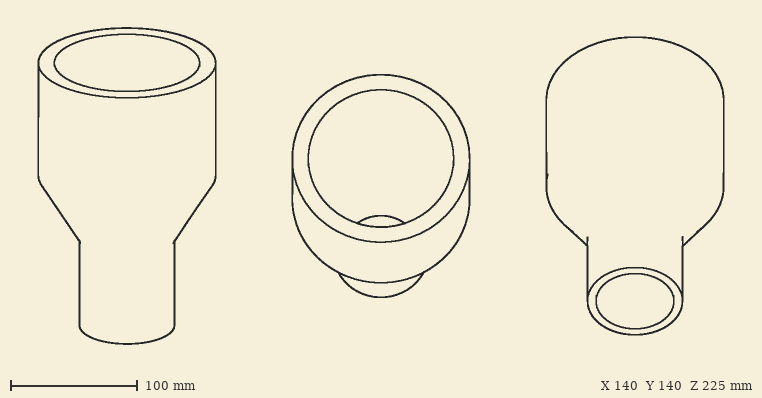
import cadquery as cq

total_length = 225.0
large_radius = 140.0 / 2
large_wall = 12.7
large_length = 97.0
small_radius = 75.0 / 2
small_wall = 6.8
small_length = 74.0

outer_blend = 1.5
inner_blend = 5.0

cone_bottom = small_length
cone_top = total_length - large_length
cone_slope = (cone_top - cone_bottom) / (large_radius - small_radius)

large_bore_radius = large_radius - large_wall
small_bore_radius = small_radius - small_wall
bore_cone_height = cone_slope * (large_bore_radius - small_bore_radius)
cone_middle = (cone_bottom + cone_top) / 2
bore_cone_bottom = cone_middle - bore_cone_height / 2
bore_cone_top = cone_middle + bore_cone_height / 2


def reducer_solid(bottom_radius, top_radius, taper_bottom, taper_top, blend):
    """Full-length solid: narrow cylinder, cone and wide cylinder, with blended cone ends."""
    solid = (
        cq.Workplane("XZ")
        .polyline([
            (0, 0),
            (bottom_radius, 0),
            (bottom_radius, taper_bottom),
            (top_radius, taper_top),
            (top_radius, total_length),
            (0, total_length),
        ])
        .close()
        .revolve(360, (0, 0), (0, 1))
    )
    return solid.edges("%CIRCLE and (not <Z) and (not >Z)").fillet(blend)


body = reducer_solid(small_radius, large_radius, cone_bottom, cone_top, outer_blend)
bore = reducer_solid(small_bore_radius, large_bore_radius, bore_cone_bottom, bore_cone_top, inner_blend)

result = body.cut(bore)